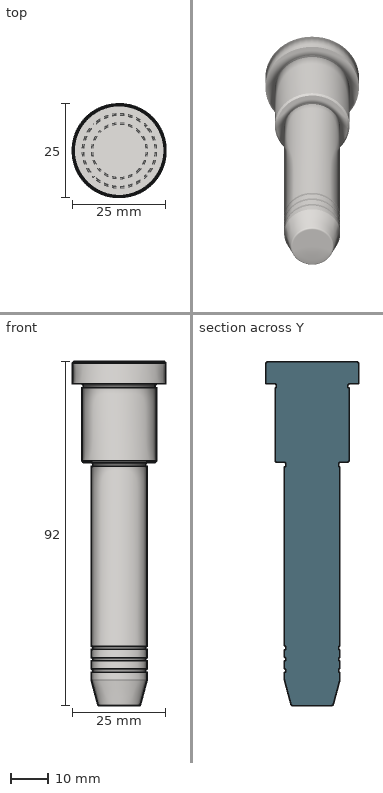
import cadquery as cq
import math

total_length = 92.0
head_height = 6.0
body_end_depth = 27.05
nose_length = 7.0

head_radius = 25.0 / 2
body_radius = 20.0 / 2
stem_radius = 15.0 / 2
nose_angle = 15.0

head_chamfer = 0.5
body_chamfer = 0.5
nose_fillet = 0.5

relief_width = 1.0
relief_depth = 0.4
head_relief_fillet = 0.55
body_relief_fillet = 0.3

groove_count = 3
groove_width = 0.8
groove_depth = 0.4
groove_fillet = 0.3
groove_pitch = 3.0
cutter_overlap = 0.4
last_land = 2.0

head_bottom = total_length - head_height
body_bottom = total_length - body_end_depth


def cylinder(radius, bottom, top):
    return cq.Workplane("XY").workplane(offset=bottom).circle(radius).extrude(top - bottom)


def ring_cutter(outer_radius, depth, bottom, width, fillet):
    """Ring-shaped groove cutter whose upper inner corner is rounded."""
    floor = outer_radius - depth
    rim = outer_radius + cutter_overlap
    top = bottom + width
    bend = fillet * (1 - math.sqrt(0.5))
    return (
        cq.Workplane("XZ")
        .moveTo(rim, bottom)
        .lineTo(floor, bottom)
        .lineTo(floor, top - fillet)
        .threePointArc((floor + bend, top - bend), (floor + fillet, top))
        .lineTo(rim, top)
        .close()
        .revolve(360, (0, 0, 0), (0, 1, 0))
    )


def make_nose():
    tip_radius = stem_radius - nose_length * math.tan(math.radians(nose_angle))
    nose = (
        cq.Workplane("XY")
        .circle(tip_radius)
        .workplane(offset=nose_length)
        .circle(stem_radius)
        .loft(ruled=True)
    )
    return nose.faces("<Z").edges().fillet(nose_fillet)


head = cylinder(head_radius, head_bottom, total_length).faces(">Z").edges().chamfer(head_chamfer)
body = cylinder(body_radius, body_bottom, head_bottom).faces("<Z").edges().chamfer(body_chamfer)
stem = cylinder(stem_radius, nose_length, body_bottom)
result = head.union(body).union(stem).union(make_nose())

reliefs = (
    (body_radius, head_bottom, head_relief_fillet),
    (stem_radius, body_bottom, body_relief_fillet),
)
for radius, shoulder, fillet in reliefs:
    relief = ring_cutter(radius, relief_depth, shoulder - relief_width, relief_width, fillet)
    result = result.cut(relief)

for index in range(groove_count):
    groove_bottom = nose_length + last_land + index * groove_pitch
    result = result.cut(ring_cutter(stem_radius, groove_depth, groove_bottom, groove_width, groove_fillet))